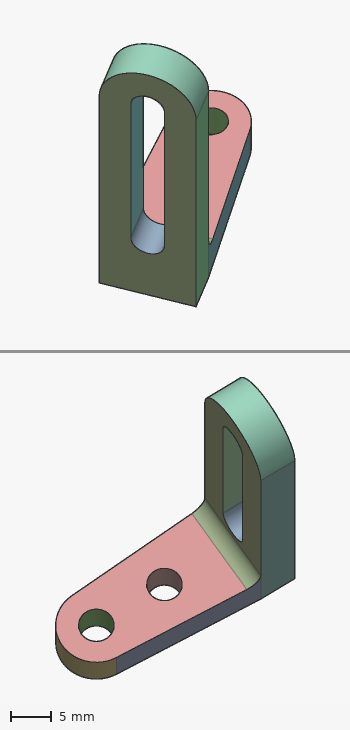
import cadquery as cq
import math

height = 41.25
depth = 30.0
width = 12.5
thickness = 5.0
foot_end_radius = 5.0
hole_diameter = 4.35
hole_spacing = 10.0
slot_bottom_center = 10.0
corner_fillet_radius = 2.0

half_width = width / 2
upright_arc_center = height - half_width
foot_arc_center = depth - foot_end_radius


def foot_tangent_point():
    """Point where the tapered side from the plate corner meets the foot's end arc."""
    run = foot_arc_center - thickness
    corner_distance = math.hypot(half_width, run)
    corner_angle = math.atan2(-run, half_width)
    angle = corner_angle + math.acos(foot_end_radius / corner_distance)
    return (
        foot_end_radius * math.cos(angle),
        foot_arc_center + foot_end_radius * math.sin(angle),
    )


def make_upright():
    """Round-topped plate standing on the base plane."""
    return (
        cq.Workplane("XZ")
        .moveTo(-half_width, 0)
        .lineTo(half_width, 0)
        .lineTo(half_width, upright_arc_center)
        .threePointArc((0, height), (-half_width, upright_arc_center))
        .close()
        .extrude(-thickness)
    )


def make_foot():
    """Tapered foot with a filleted inner corner against the upright."""
    tangent_x, tangent_y = foot_tangent_point()
    outline = (
        cq.Workplane("XY")
        .moveTo(-half_width, thickness)
        .lineTo(half_width, thickness)
        .lineTo(tangent_x, tangent_y)
        .threePointArc((0, depth), (-tangent_x, tangent_y))
        .close()
        .extrude(thickness + corner_fillet_radius)
    )
    fillet_end = thickness + corner_fillet_radius
    fillet_sag = corner_fillet_radius * (1 - math.sqrt(0.5))
    side_profile = (
        cq.Workplane("YZ")
        .moveTo(thickness, 0)
        .lineTo(depth, 0)
        .lineTo(depth, thickness)
        .lineTo(fillet_end, thickness)
        .threePointArc(
            (thickness + fillet_sag, thickness + fillet_sag),
            (thickness, fillet_end),
        )
        .close()
        .extrude(half_width, both=True)
    )
    return outline.intersect(side_profile)


def make_slot():
    """Vertical slot whose upper end is concentric with the plate's round top."""
    center_distance = upright_arc_center - slot_bottom_center
    return (
        cq.Workplane("XZ")
        .center(0, (upright_arc_center + slot_bottom_center) / 2)
        .slot2D(center_distance + hole_diameter, hole_diameter, 90)
        .extrude(-thickness)
    )


def make_foot_holes():
    """Two through holes, the outer one concentric with the foot's end."""
    return (
        cq.Workplane("XY")
        .pushPoints([(0, foot_arc_center), (0, foot_arc_center - hole_spacing)])
        .circle(hole_diameter / 2)
        .extrude(thickness)
    )


result = make_upright().union(make_foot()).cut(make_slot()).cut(make_foot_holes())